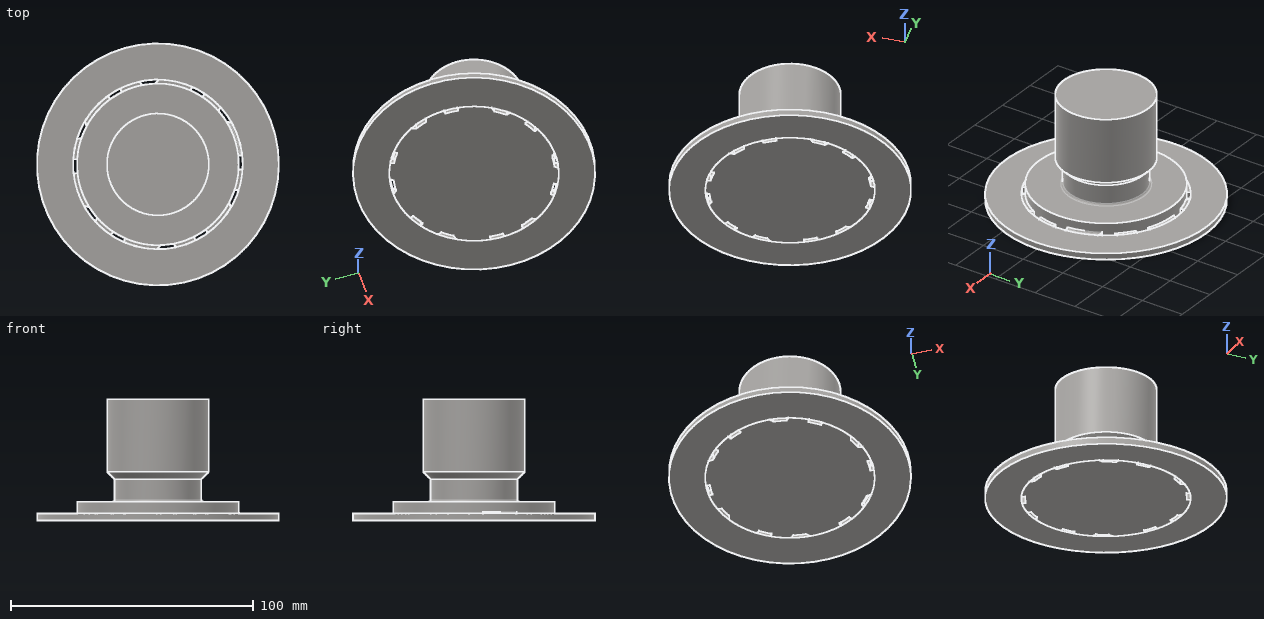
import cadquery as cq
import math

ring_diameter = 99.9
ring_bore_diameter = 69.9
ring_thickness = 3.0

flange_diameter = 66.7
flange_top = 7.8
neck_diameter = 36.0
neck_fillet = 0.8
grip_diameter = 42.0
grip_chamfer = 3.0
grip_bottom = 17.1
knob_height = 50.0

sector_count = 6
sector_angle = 360.0 / sector_count
lug_height = ring_thickness
lug_root_overlap = 1.0
long_lug_start = (6.1, 6.1)
long_lug_end = (32.0, 29.4)
short_lug_start = (41.2, 42.4)
short_lug_end = (56.5, 56.5)
root_fillet = 0.7

flange_radius = flange_diameter / 2
neck_radius = neck_diameter / 2
grip_radius = grip_diameter / 2
lug_tip_radius = ring_bore_diameter / 2


def polar(radius, angle):
    """Point at a radius and an angle in degrees."""
    radians = math.radians(angle)
    return (radius * math.cos(radians), radius * math.sin(radians))


def make_ring():
    """Flat ring that surrounds the lugs."""
    return (
        cq.Workplane("XY")
        .circle(ring_diameter / 2)
        .circle(ring_bore_diameter / 2)
        .extrude(ring_thickness)
    )


def make_knob_core():
    """Turned shape of the knob without its lugs."""
    neck_base = flange_top + neck_fillet
    fillet_centre = (neck_radius + neck_fillet, neck_base)
    fillet_middle = (
        fillet_centre[0] - neck_fillet * math.sqrt(0.5),
        fillet_centre[1] - neck_fillet * math.sqrt(0.5),
    )
    profile = (
        cq.Workplane("XZ")
        .moveTo(0, 0)
        .lineTo(flange_radius, 0)
        .lineTo(flange_radius, flange_top)
        .lineTo(neck_radius + neck_fillet, flange_top)
        .threePointArc(fillet_middle, (neck_radius, neck_base))
        .lineTo(neck_radius, grip_bottom)
        .lineTo(grip_radius, grip_bottom + grip_chamfer)
        .lineTo(grip_radius, knob_height)
        .lineTo(0, knob_height)
        .close()
    )
    return profile.revolve(360, (0, 0, 0), (0, 1, 0))


def make_lug(start, end):
    """Lug between two ends, each given as (angle at the rim, angle at the tip)."""
    root_radius = flange_radius - lug_root_overlap
    return (
        cq.Workplane("XY")
        .moveTo(*polar(root_radius, start[0]))
        .lineTo(*polar(flange_radius, start[0]))
        .lineTo(*polar(lug_tip_radius, start[1]))
        .threePointArc(
            polar(lug_tip_radius, (start[1] + end[1]) / 2),
            polar(lug_tip_radius, end[1]),
        )
        .lineTo(*polar(flange_radius, end[0]))
        .lineTo(*polar(root_radius, end[0]))
        .close()
        .extrude(lug_height)
    )


def fillet_first_lug(knob):
    """Round the corner between the flange rim and the top of the first long lug."""
    middle = polar(flange_radius, (long_lug_start[0] + long_lug_end[0]) / 2)
    root_edge = cq.selectors.NearestToPointSelector((*middle, lug_height))
    return knob.edges(root_edge).fillet(root_fillet)


def make_knob():
    """Knob with its lugs joined to the flange rim."""
    knob = make_knob_core()
    long_lug = make_lug(long_lug_start, long_lug_end)
    short_lug = make_lug(short_lug_start, short_lug_end)
    for sector in range(sector_count):
        for lug in (long_lug, short_lug):
            knob = knob.union(lug.rotate((0, 0, 0), (0, 0, 1), sector * sector_angle))
    return fillet_first_lug(knob)


ring = make_ring()
knob = make_knob()
result = cq.Compound.makeCompound([ring.val(), *knob.solids().vals()])